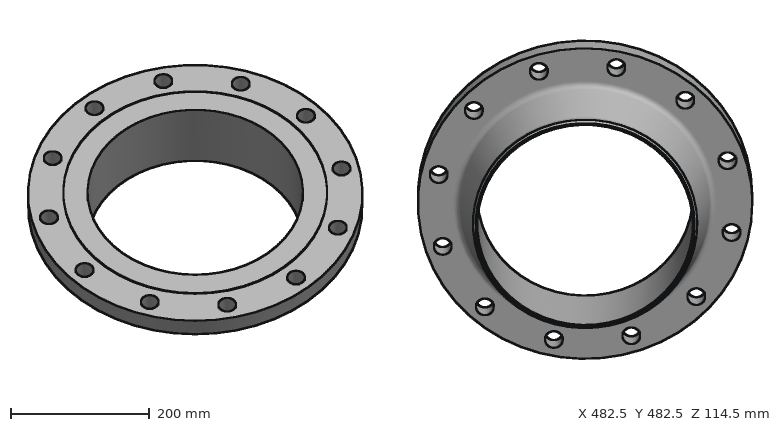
import cadquery as cq

flange_diameter = 482.5
total_height = 114.5
face_diameter = 381.0
face_height = 1.5
plate_thickness = 30.5

bore_diameter = 311.0
hub_diameter = 365.0
weld_diameter = 324.0
weld_land_height = 12.0
root_fillet = 9.5
weld_bevel_width = 4.0
weld_bevel_height = 4.0

bolt_count = 12
bolt_circle_diameter = 432.0
bolt_hole_diameter = 25.5

plate_top = total_height - face_height
plate_bottom = plate_top - plate_thickness


def revolved_body():
    """Half section in the XZ plane, turned about the Z axis."""
    bore_radius = bore_diameter / 2
    weld_radius = weld_diameter / 2
    return (
        cq.Workplane("XZ")
        .moveTo(bore_radius, 0)
        .lineTo(weld_radius - weld_bevel_width, 0)
        .lineTo(weld_radius, weld_bevel_height)
        .lineTo(weld_radius, weld_land_height)
        .lineTo(hub_diameter / 2, plate_bottom)
        .lineTo(flange_diameter / 2, plate_bottom)
        .lineTo(flange_diameter / 2, plate_top)
        .lineTo(face_diameter / 2, plate_top)
        .lineTo(face_diameter / 2, total_height)
        .lineTo(bore_radius, total_height)
        .close()
        .revolve(360, (0, 0, 0), (0, 1, 0))
    )


def round_hub_root(body):
    """Fillet where the hub taper meets the underside of the plate."""
    margin = 0.5
    reach = hub_diameter / 2 + margin
    hub_root = cq.selectors.BoxSelector(
        (-reach, -reach, plate_bottom - margin),
        (reach, reach, plate_bottom + margin),
        boundingbox=True,
    )
    return body.edges(hub_root).fillet(root_fillet)


def bolt_holes():
    return (
        cq.Workplane("XY")
        .polarArray(bolt_circle_diameter / 2, 0, 360, bolt_count)
        .circle(bolt_hole_diameter / 2)
        .extrude(total_height)
    )


body = round_hub_root(revolved_body())
result = body.cut(bolt_holes())